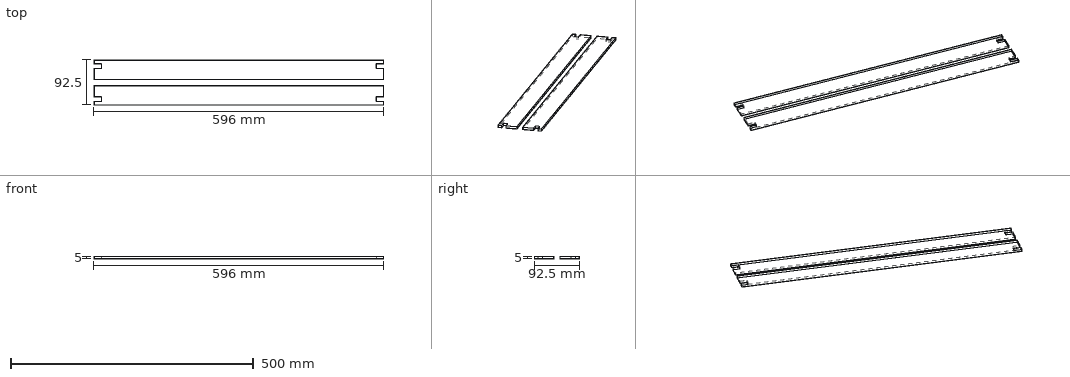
import cadquery as cq

strip_length = 596.0
strip_thickness = 5.0
pair_width = 92.5
strip_gap = 12.5
strip_width = (pair_width - strip_gap) / 2

slot_depth = 15.0
slot_width = 9.0
slot_edge_margin = 8.0


def end_slot(end, slot_y):
    """Cutter for the slot open to one end of a strip (end is -1 or +1 along X)."""
    slot_x = end * (strip_length - slot_depth) / 2
    return cq.Workplane("XY").box(slot_depth, slot_width, strip_thickness).translate((slot_x, slot_y, 0))


def slotted_strip(side):
    """Flat strip on one side of the gap (side is -1 or +1 along Y)."""
    strip_y = side * (strip_gap + strip_width) / 2
    slot_y = side * (pair_width / 2 - slot_edge_margin - slot_width / 2)
    strip = cq.Workplane("XY").box(strip_length, strip_width, strip_thickness).translate((0, strip_y, 0))
    for end in (-1, 1):
        strip = strip.cut(end_slot(end, slot_y))
    return strip


strips = [slotted_strip(side).val() for side in (-1, 1)]

result = cq.Compound.makeCompound([strip.Solids()[0] for strip in strips])